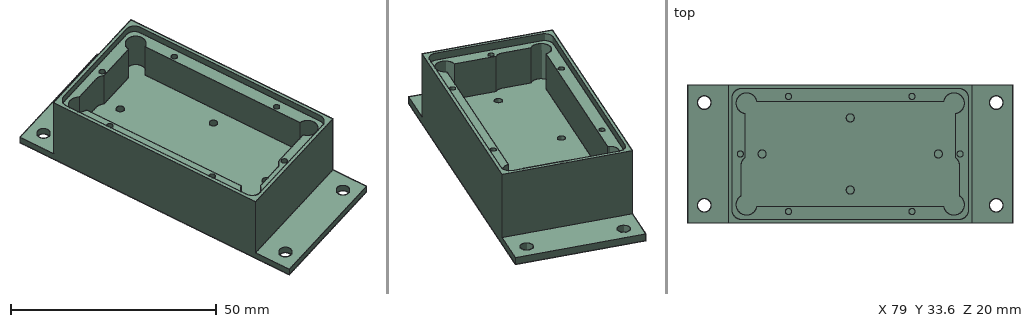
import cadquery as cq

plate_length = 79
plate_width = 33.6
plate_thickness = 2.0
mount_hole_diameter = 3.2
mount_hole_x = 35.5
mount_hole_y = 12.5

total_height = 20.0
box_length = 59.25

rim_wall = 0.9
recess_depth = 2.0
recess_corner_radius = 2.4
recess_length = box_length - 2 * rim_wall
recess_width = plate_width - 2 * rim_wall
ledge_z = total_height - recess_depth

ledge_width = 3.15
cavity_length = recess_length - 2 * ledge_width
cavity_width = recess_width - 2 * ledge_width
cavity_depth = 10.0
floor_z = ledge_z - cavity_depth
relief_diameter = 5.05
relief_x = 25.2
relief_y = 12.3
slot_width = relief_diameter
slot_x = 24.0
slot_top_y = -0.3
slot_bottom_y = -12.6

lid_hole_diameter = 1.5
lid_hole_depth = 5.0
side_lid_hole_x = 15
side_lid_hole_y = 14.0
end_lid_hole_x = 26.7
floor_hole_diameter = 2.0
floor_hole_depth = 5.0
floor_hole_x = 21.4
floor_hole_y = 8.8


def mirrored(x, y):
    """Four points placed symmetrically about both centre planes."""
    return [(sx * x, sy * y) for sx in (-1, 1) for sy in (-1, 1)]


def block(length, width, bottom_z, top_z):
    """Centred rectangular block between two heights."""
    return (
        cq.Workplane("XY", origin=(0, 0, bottom_z))
        .rect(length, width)
        .extrude(top_z - bottom_z)
    )


def pins(points, diameter, top_z, depth):
    """Cylinders reaching down from top_z, used as hole cutters."""
    return (
        cq.Workplane("XY", origin=(0, 0, top_z))
        .pushPoints(points)
        .circle(diameter / 2)
        .extrude(-depth)
    )


def cavity_cutter():
    """Rectangular cavity joined with its corner reliefs and end slots."""
    cavity = block(cavity_length, cavity_width, floor_z, ledge_z)
    reliefs = pins(mirrored(relief_x, relief_y), relief_diameter, ledge_z, cavity_depth)
    slots = (
        cq.Workplane("XY", origin=(0, (slot_top_y + slot_bottom_y) / 2, floor_z))
        .pushPoints([(-slot_x, 0), (slot_x, 0)])
        .slot2D(slot_top_y - slot_bottom_y, slot_width, 90)
        .extrude(cavity_depth)
    )
    return cavity.union(reliefs).union(slots)


plate = block(plate_length, plate_width, 0, plate_thickness)
box = block(box_length, plate_width, 0, total_height)
recess = block(recess_length, recess_width, ledge_z, total_height)
recess = recess.edges("|Z").fillet(recess_corner_radius)

mount_holes = pins(
    mirrored(mount_hole_x, mount_hole_y), mount_hole_diameter, plate_thickness, plate_thickness
)

lid_hole_points = mirrored(side_lid_hole_x, side_lid_hole_y)
lid_hole_points += [(-end_lid_hole_x, 0), (end_lid_hole_x, 0)]
lid_holes = pins(lid_hole_points, lid_hole_diameter, ledge_z, lid_hole_depth)

floor_hole_points = [(-floor_hole_x, 0), (floor_hole_x, 0), (0, -floor_hole_y), (0, floor_hole_y)]
floor_holes = pins(floor_hole_points, floor_hole_diameter, floor_z, floor_hole_depth)

result = plate.union(box).cut(recess).cut(cavity_cutter())
result = result.cut(mount_holes).cut(lid_holes).cut(floor_holes)